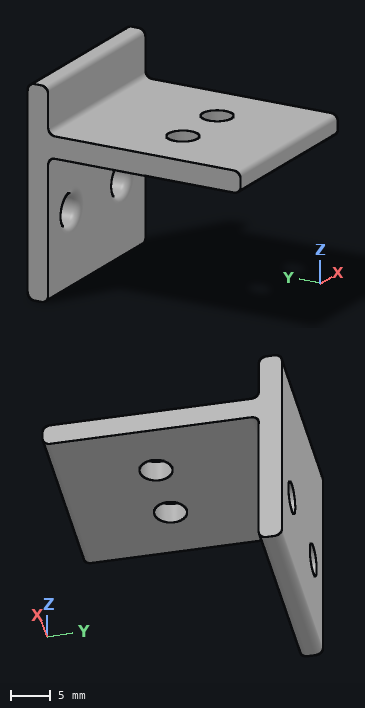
import cadquery as cq

width = 25.0
depth = 31.0
height = 29.1
thickness = 3.0
edge_radius = 1.0

shelf_top_drop = 6.5

hole_diameter = 4.2
wall_hole_spacing = 13.0
wall_hole_height = 10.6
shelf_hole_spacing = 8.8
shelf_hole_setback = 18.0

wall_front = -thickness
shelf_top = height - shelf_top_drop
shelf_bottom = shelf_top - thickness


def block(y_start, y_end, z_start, z_end):
    """Full-width block between the given Y and Z limits."""
    return (
        cq.Workplane("XY", origin=(0, y_start, z_start))
        .box(width, y_end - y_start, z_end - z_start, centered=(True, False, False))
    )


def bracket_body():
    """Wall and shelf, with every edge along X rounded."""
    wall = block(wall_front, 0, 0, height)
    shelf = block(-depth, wall_front, shelf_bottom, shelf_top)
    return wall.union(shelf).edges("|X").fillet(edge_radius)


def wall_hole_cutter(x):
    """Through hole along Y whose front rim flares outward in a convex round."""
    radius = hole_diameter / 2
    rim_radius = radius + edge_radius
    arc_offset = edge_radius * (1 - 0.5 ** 0.5)
    profile = (
        cq.Workplane("XY")
        .lineTo(radius, 0)
        .lineTo(radius, wall_front + edge_radius)
        .threePointArc(
            (radius + arc_offset, wall_front + arc_offset),
            (rim_radius, wall_front),
        )
        .lineTo(0, wall_front)
        .close()
    )
    return profile.revolve(360, (0, 0, 0), (0, 1, 0)).translate((x, 0, wall_hole_height))


def shelf_hole_cutter(x):
    """Plain through hole along Z."""
    return (
        cq.Workplane("XY", origin=(x, -shelf_hole_setback, shelf_bottom))
        .circle(hole_diameter / 2)
        .extrude(thickness)
    )


result = bracket_body()
for side in (-1, 1):
    result = result.cut(wall_hole_cutter(side * wall_hole_spacing / 2))
    result = result.cut(shelf_hole_cutter(side * shelf_hole_spacing / 2))